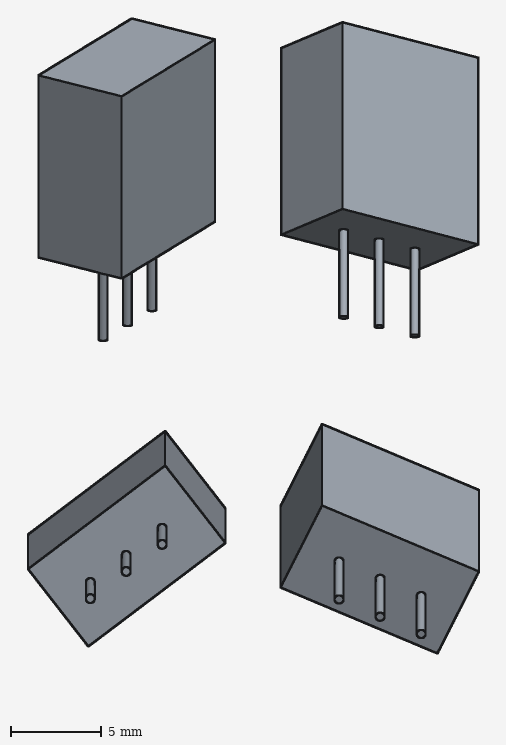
import cadquery as cq

housing_width = 5.5
housing_depth = 9.6
housing_height = 11.0

overall_height = 16.1
pin_diameter = 0.5
pin_length = overall_height - housing_height
pin_pitch = 2.51
pin_count = 3
pin_row_x = 0.05


def make_housing():
    """Plain block with its underside on Z = 0."""
    return cq.Workplane("XY").box(
        housing_width, housing_depth, housing_height, centered=(True, True, False)
    )


def make_pin(y):
    """Round pin hanging from the underside of the housing."""
    return (
        cq.Workplane("XY")
        .center(pin_row_x, y)
        .circle(pin_diameter / 2)
        .extrude(-pin_length)
    )


housing = make_housing()

pins = []
for index in range(pin_count):
    pin_y = (index - (pin_count - 1) / 2) * pin_pitch
    pins.append(make_pin(pin_y).val())

result = cq.Compound.makeCompound([housing.val(), *pins])